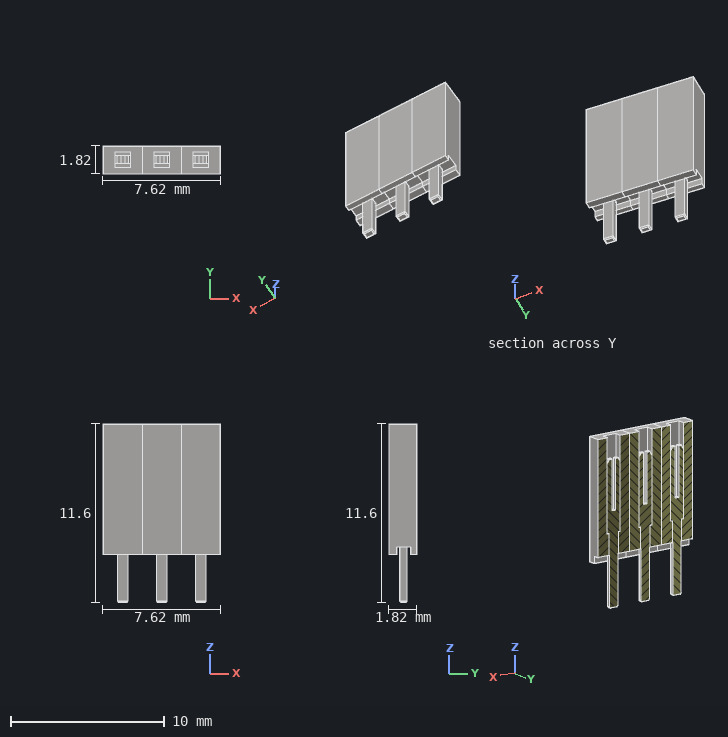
import cadquery as cq
import math

PITCH = 2.54
CELL_COUNT = 3
HOUSING_HEIGHT = 8.5
HOUSING_DEPTH = 1.82
BACK_Y = 0.9
FRONT_Y = BACK_Y - HOUSING_DEPTH

GROOVE_HEIGHT = 0.49
GROOVE_BACK_Y = 0.5
GROOVE_FRONT_Y = -0.4

SOCKET_SIZE = 1.0
SOCKET_FLOOR_Z = 2.0

CONTACT_Y = 0.03
CONTACT_THICKNESS = 0.5
TAIL_WIDTH = 0.7
TAIL_LENGTH = 3.1
TIP_CHAMFER = 0.08
FORK_TOP_Z = 7.0
SLOT_WIDTH = 0.26
SLOT_FLOOR_Z = 3.5
SHOULDER_RUN = 0.13
SHOULDER_ANGLE = 60
SHOULDER_DROP = SHOULDER_RUN * math.tan(math.radians(SHOULDER_ANGLE))


def make_housing(x):
    """One cell: a block with a grooved underside, a socket and a hole for the contact's tail."""
    profile = [
        (BACK_Y, 0),
        (BACK_Y, HOUSING_HEIGHT),
        (FRONT_Y, HOUSING_HEIGHT),
        (FRONT_Y, 0),
        (GROOVE_FRONT_Y, 0),
        (GROOVE_FRONT_Y, GROOVE_HEIGHT),
        (GROOVE_BACK_Y, GROOVE_HEIGHT),
        (GROOVE_BACK_Y, 0),
    ]
    block = cq.Workplane("YZ").polyline(profile).close().extrude(PITCH / 2, both=True)
    socket = (
        cq.Workplane("XY", origin=(0, CONTACT_Y, SOCKET_FLOOR_Z))
        .rect(SOCKET_SIZE, SOCKET_SIZE)
        .extrude(HOUSING_HEIGHT - SOCKET_FLOOR_Z)
    )
    tail_hole = (
        cq.Workplane("XY", origin=(0, CONTACT_Y, 0))
        .rect(TAIL_WIDTH, CONTACT_THICKNESS)
        .extrude(SOCKET_FLOOR_Z)
    )
    return block.cut(socket).cut(tail_hole).translate((x, 0, 0))


def make_contact(x):
    """One contact: a fork with sloped outer shoulders on the socket floor, and a chamfered tail."""
    fork_half_width = SOCKET_SIZE / 2
    slot_half_width = SLOT_WIDTH / 2
    right_half = [
        (fork_half_width, SOCKET_FLOOR_Z),
        (fork_half_width, FORK_TOP_Z - SHOULDER_DROP),
        (fork_half_width - SHOULDER_RUN, FORK_TOP_Z),
        (slot_half_width, FORK_TOP_Z),
        (slot_half_width, SLOT_FLOOR_Z),
    ]
    left_half = [(-half_x, z) for half_x, z in reversed(right_half)]
    fork = (
        cq.Workplane("XZ", origin=(0, CONTACT_Y, 0))
        .polyline(right_half + left_half)
        .close()
        .extrude(CONTACT_THICKNESS / 2, both=True)
    )
    tail = (
        cq.Workplane("XY", origin=(0, CONTACT_Y, -TAIL_LENGTH))
        .rect(TAIL_WIDTH, CONTACT_THICKNESS)
        .extrude(TAIL_LENGTH + SOCKET_FLOOR_Z)
        .faces("<Z")
        .chamfer(TIP_CHAMFER)
    )
    return tail.union(fork).translate((x, 0, 0))


cell_positions = [(index - (CELL_COUNT - 1) / 2) * PITCH for index in range(CELL_COUNT)]
housings = [make_housing(x) for x in cell_positions]
contacts = [make_contact(x) for x in cell_positions]

result = cq.Compound.makeCompound([body.solids().val() for body in housings + contacts])